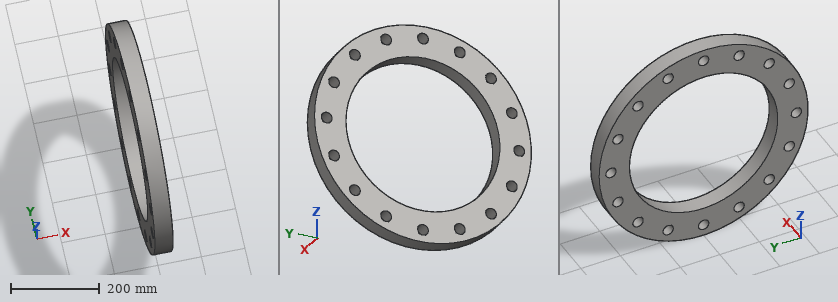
import cadquery as cq

outer_diameter = 530.0
bore_diameter = 376.0
thickness = 42.0

bolt_circle_diameter = 470.0
bolt_hole_diameter = 26.0
bolt_hole_count = 16


def make_ring():
    """Plain ring, extruded along +X from the YZ plane."""
    return (
        cq.Workplane("YZ")
        .circle(outer_diameter / 2)
        .circle(bore_diameter / 2)
        .extrude(thickness)
    )


def make_bolt_holes():
    """Cylinders to cut from the ring, one for each bolt."""
    return (
        cq.Workplane("YZ")
        .polarArray(bolt_circle_diameter / 2, 0, 360, bolt_hole_count)
        .circle(bolt_hole_diameter / 2)
        .extrude(thickness)
    )


result = make_ring().cut(make_bolt_holes())